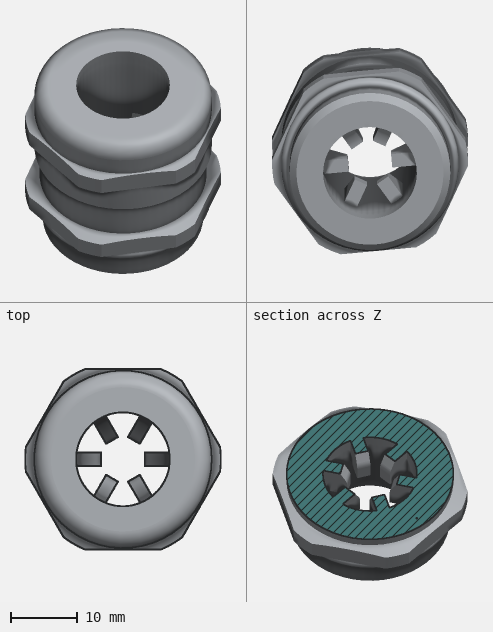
import cadquery as cq
import math

total_height = 29.2
entry_chamfer = 1.03
seal_ring_bottom = 5.07
lower_hex_bottom = 7.0
lower_hex_rim = 9.65
cap_bottom = 16.2
upper_hex_bottom = 20.75
upper_hex_rim = 23.5

thread_radius = 12.0
body_radius = 12.5
cap_radius = 13.27
bore_radius = 7.0
cap_rounding = 2.5

hex_across_flats = 27.0
hex_corner_radius = 14.65
hex_bevel_slope = math.tan(math.radians(15))

fin_count = 6
fin_width = 2.05
fin_tip_radius = 3.25
fin_embedding = 0.3
fin_root_radius = bore_radius + fin_embedding
fin_bottom = lower_hex_bottom
fin_top = cap_bottom
fin_slope = math.tan(math.radians(60))
fin_rounding = 2.0


def cylinder(radius, bottom, top):
    return cq.Workplane("XY").workplane(offset=bottom).circle(radius).extrude(top - bottom)


def hex_collar(bottom, rim, inner_radius):
    """Hexagon with corners turned round and a conical bevel rising from the rim to inner_radius."""
    top = rim + (hex_corner_radius - inner_radius) * hex_bevel_slope
    across_corners = hex_across_flats / math.cos(math.pi / 6)
    prism = (
        cq.Workplane("XY")
        .workplane(offset=bottom)
        .polygon(6, across_corners)
        .extrude(top - bottom)
    )
    turned_blank = (
        cq.Workplane("XZ")
        .moveTo(0, bottom)
        .lineTo(hex_corner_radius, bottom)
        .lineTo(hex_corner_radius, rim)
        .lineTo(inner_radius, top)
        .lineTo(0, top)
        .close()
        .revolve(360, (0, 0, 0), (0, 1, 0))
    )
    return prism.intersect(turned_blank)


def seal_ring():
    """Round-edged seal between the lower hexagon and the thread."""
    edge_radius = (lower_hex_bottom - seal_ring_bottom) / 2
    edge_center_radius = cap_radius - edge_radius
    return (
        cq.Workplane("XZ")
        .moveTo(bore_radius, seal_ring_bottom)
        .lineTo(edge_center_radius, seal_ring_bottom)
        .threePointArc(
            (cap_radius, seal_ring_bottom + edge_radius),
            (edge_center_radius, lower_hex_bottom),
        )
        .lineTo(bore_radius, lower_hex_bottom)
        .close()
        .revolve(360, (0, 0, 0), (0, 1, 0))
    )


def clamping_fin(angle):
    """Radial rib whose upper face slopes steeply down from the bore wall to a rounded, upright tip."""
    shoulder_height = fin_top - (bore_radius - fin_tip_radius) * fin_slope
    return (
        cq.Workplane("XZ", origin=(0, fin_width / 2, 0))
        .moveTo(fin_root_radius, fin_bottom)
        .lineTo(fin_tip_radius, fin_bottom)
        .lineTo(fin_tip_radius, shoulder_height)
        .lineTo(bore_radius, fin_top)
        .lineTo(fin_root_radius, fin_top)
        .close()
        .extrude(fin_width)
        .edges(cq.NearestToPointSelector((fin_tip_radius, 0, shoulder_height)))
        .fillet(fin_rounding)
        .rotate((0, 0, 0), (0, 0, 1), angle)
    )


thread = cylinder(thread_radius, 0, lower_hex_bottom).faces("<Z").chamfer(entry_chamfer)
body = cylinder(body_radius, lower_hex_bottom, cap_bottom)
cap = cylinder(cap_radius, cap_bottom, total_height).faces(">Z").edges().fillet(cap_rounding)

result = (
    thread.union(body)
    .union(cap)
    .union(seal_ring())
    .union(hex_collar(lower_hex_bottom, lower_hex_rim, body_radius))
    .union(hex_collar(upper_hex_bottom, upper_hex_rim, cap_radius))
    .cut(cylinder(bore_radius, 0, total_height))
)
for index in range(fin_count):
    result = result.union(clamping_fin(index * 360 / fin_count))